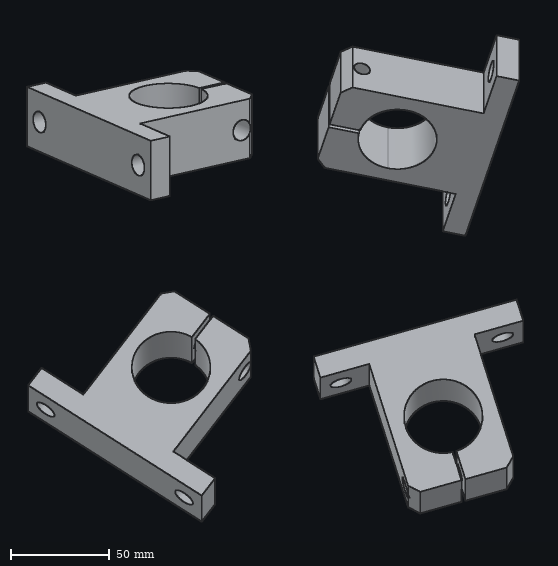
import cadquery as cq

base_length = 108.0
base_thickness = 12.0
height = 86.0
width = 32.0

body_length = 56.0
corner_chamfer = 5.0
bore_diameter = 40.0
bore_y = 50.0
slit_width = 2.0

mounting_diameter = 11.0
mounting_spacing = 86.0
clamp_thread_diameter = 8.38
clamp_clearance_diameter = 11.0
clamp_screw_end_distance = 10.0
clamp_screw_y = height - clamp_screw_end_distance


def make_base():
    """Flange whose mounting face lies on Y = 0."""
    return cq.Workplane("XY").box(
        base_length, base_thickness, width, centered=(True, False, True)
    )


def make_body():
    """Upright clamp block with its two outer corners chamfered."""
    block = cq.Workplane("XY").box(body_length, height, width, centered=(True, False, True))
    return block.faces(">Y").edges("|Z").chamfer(corner_chamfer)


def make_bore():
    """Shaft bore along Z."""
    return cq.Workplane("XY").center(0, bore_y).circle(bore_diameter / 2).extrude(width / 2, both=True)


def make_slit():
    """Clamping slit from the bore out through the clamp end."""
    slit_depth = height - bore_y
    return (
        cq.Workplane("XY")
        .center(0, bore_y + slit_depth / 2)
        .rect(slit_width, slit_depth)
        .extrude(width / 2, both=True)
    )


def make_mounting_hole(x):
    """Bolt hole through the flange along Y."""
    hole = cq.Workplane("XZ").center(x, 0).circle(mounting_diameter / 2)
    return hole.extrude(-base_thickness)


def make_clamp_screw_hole(diameter, side):
    """Screw hole along X through the clamp jaw on the given side (-1 or +1) of the slit."""
    hole = cq.Workplane("YZ").center(clamp_screw_y, 0).circle(diameter / 2)
    return hole.extrude(side * body_length / 2)


result = make_base().union(make_body())
result = result.cut(make_bore()).cut(make_slit())
result = result.cut(make_clamp_screw_hole(clamp_thread_diameter, -1))
result = result.cut(make_clamp_screw_hole(clamp_clearance_diameter, 1))
for side in (-1, 1):
    result = result.cut(make_mounting_hole(side * mounting_spacing / 2))